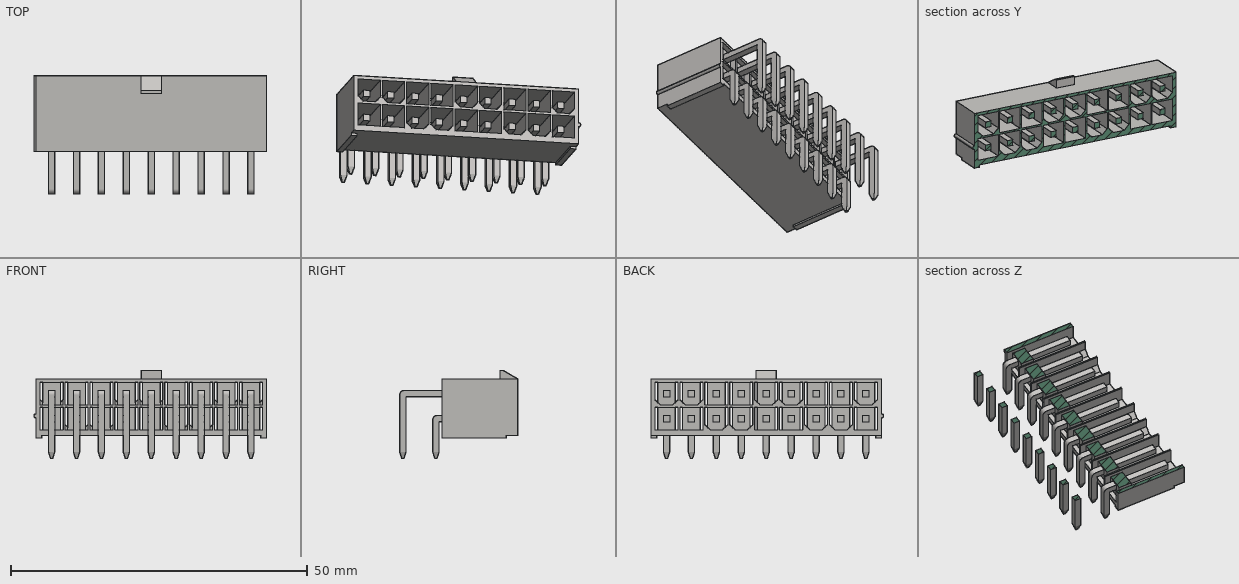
import cadquery as cq


column_count = 9
pitch = 4.2
cell_width = 3.85
cell_height = 3.8
row_wall = pitch - cell_height

rib_radius = 0.35
body_width = 39.32 - rib_radius
body_depth = 12.8
roof = 0.6
floor = 1.0
body_height = roof + 2 * cell_height + row_wall + floor

foot_height = 0.4
foot_width = 1.02
foot_setback = 1.93

rib_drop = 6.25

latch_width = 3.45
latch_depth = 3.03
latch_height = 1.45
latch_land = 0.5

plate_width = 3.03
plate_recess = 0.83
plate_thickness = 2.35

key_bevel = 0.9
upper_keyed_columns = (0, 3, 4, 7, 8)
lower_keyed_columns = (1, 2, 5, 6)

pin_size = 1.1
bend_radius = 0.8
tip_length = 1.1
tip_size = 0.4
pin_bottom = -3.85
pin_setback = 1.95
upper_pin_reach = 7.15
lower_pin_reach = 1.57

lower_row_z = floor + cell_height / 2
upper_row_z = lower_row_z + pitch
column_x = [(i - (column_count - 1) / 2) * pitch for i in range(column_count)]


def block(width, depth, height, x, y, z):
    """Box centred on x, starting at y and centred on z."""
    return cq.Workplane("XY").box(width, depth, height, centered=(True, False, True)).translate((x, y, z))


def make_shell():
    """Solid housing body with its two feet and the side rib."""
    shell = block(body_width, body_depth, body_height, 0, 0, body_height / 2)
    foot_x = (body_width - foot_width) / 2
    for x in (-foot_x, foot_x):
        shell = shell.union(
            block(foot_width, body_depth - foot_setback, foot_height, x, 0, -foot_height / 2)
        )
    rib = (
        cq.Workplane("XZ", origin=(-body_width / 2, 0, body_height - rib_drop))
        .circle(rib_radius)
        .extrude(-body_depth)
    )
    return shell.union(rib)


def make_latch():
    """Wedge rising from the mating face and dropping off steeply behind its crest."""
    crest = body_height + latch_height
    catch_y = body_depth - latch_depth
    return (
        cq.Workplane("YZ", origin=(-latch_width / 2, 0, 0))
        .moveTo(body_depth, body_height)
        .lineTo(catch_y, body_height)
        .lineTo(catch_y, crest)
        .lineTo(catch_y + latch_land, crest)
        .close()
        .extrude(latch_width)
    )


def make_key_bevels(x, z):
    """Triangular fillers in the two lower corners of one mating cavity."""
    start = plate_recess + plate_thickness
    corner_z = z - cell_height / 2
    bevels = cq.Workplane("XZ", origin=(0, start, 0))
    for side in (-1, 1):
        corner_x = x + side * cell_width / 2
        bevels = (
            bevels.moveTo(corner_x, corner_z)
            .lineTo(corner_x - side * key_bevel, corner_z)
            .lineTo(corner_x, corner_z + key_bevel)
            .close()
        )
    return bevels.extrude(start - body_depth)


def make_pin(x, z, reach):
    """L-shaped square pin: straight into the cavity, bent down behind the housing."""
    leg_end = pin_bottom + tip_length
    top = z + pin_size / 2
    bent = (
        cq.Workplane("YZ", origin=(x - pin_size / 2, 0, 0))
        .moveTo(body_depth - pin_setback, top)
        .lineTo(bend_radius - reach, top)
        .radiusArc((-reach, top - bend_radius), -bend_radius)
        .lineTo(-reach, leg_end)
        .lineTo(pin_size - reach, leg_end)
        .lineTo(pin_size - reach, z - pin_size / 2)
        .lineTo(body_depth - pin_setback, z - pin_size / 2)
        .close()
        .extrude(pin_size)
    )
    tip = (
        cq.Workplane("XY", origin=(x, pin_size / 2 - reach, pin_bottom))
        .rect(tip_size, tip_size)
        .workplane(offset=tip_length)
        .rect(pin_size, pin_size)
        .loft()
    )
    return bent.union(tip)


rows = (
    (upper_row_z, upper_pin_reach, upper_keyed_columns),
    (lower_row_z, lower_pin_reach, lower_keyed_columns),
)
cells = cq.Workplane("XY")
inserts = make_latch()
for row_z, reach, keyed_columns in rows:
    for column, x in enumerate(column_x):
        cells = cells.add(block(cell_width, body_depth, cell_height, x, 0, row_z))
        inserts = inserts.add(block(plate_width, plate_thickness, cell_height, x, plate_recess, row_z))
        inserts = inserts.add(make_pin(x, row_z, reach))
        if column in keyed_columns:
            inserts = inserts.add(make_key_bevels(x, row_z))

result = make_shell()
for cell in cells.vals():
    result = result.cut(cq.Workplane(cell))
for insert in inserts.vals():
    result = result.union(cq.Workplane(insert))